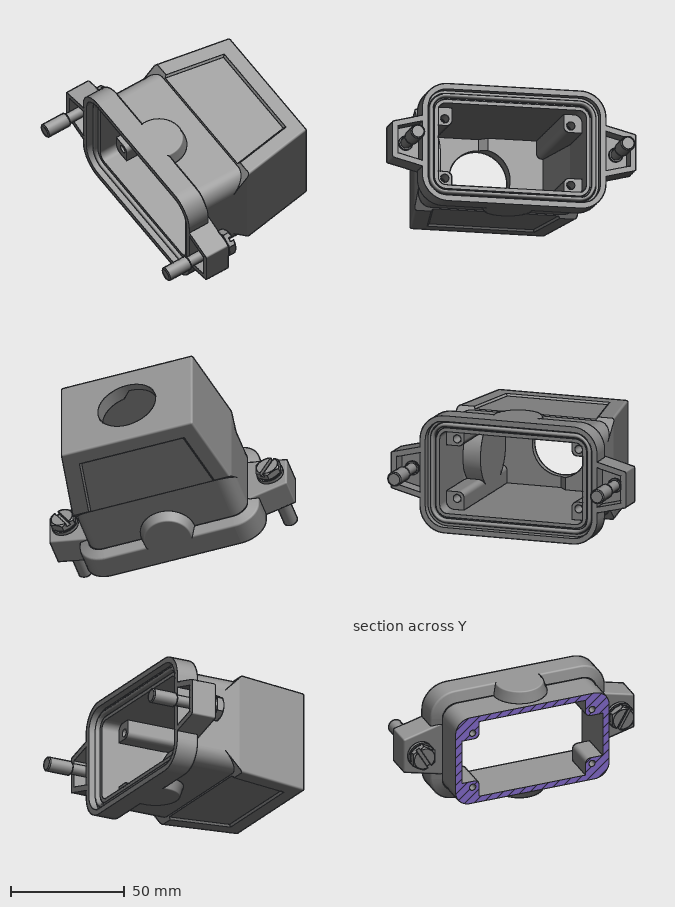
import cadquery as cq
import math


FLANGE_X = 83.0
FLANGE_Z = 53.0
FLANGE_RADIUS = 11.5
FLANGE_HEIGHT = 12.0
FLANGE_SLOPE_DROP = 1.8
FLANGE_EDGE_FILLET = 1.0

NECK_X = 73.5
NECK_Z = 43.0
NECK_RADIUS = 7.15
NECK_TOP = 34.0
NECK_ROOT = 5.0

HOOD_TOP = 70.0
HOOD_Z = 45.8
HOOD_TAPER = math.tan(math.radians(10))
HOOD_EDGE_FILLET = 1.0
PANEL_TOP = 63.0
PANEL_MARGIN = 7.4
PANEL_DEPTH = 0.9
PANEL_TAPER_ANGLE = 45

BOSS_BASE_RADIUS = 12.3
BOSS_TAPER_ANGLE = 19
BOSS_FILLET = 0.7
BOSS_FOOT_Y = 5.0

RIM_INSET = 2.5
RIM_DEPTH = 3.5
GROOVE_OUTER_INSET = 3.65
GROOVE_INNER_INSET = 6.3
GROOVE_DEPTH = 1.0
BEAD_INSET = 4.75
BEAD_RADIUS = 0.8
BEAD_PROTRUSION = 1.5
CAVITY_INSET = 8.0

CAVITY_DEPTH = 66.8
CAVITY_STEP_DEPTH = 63.3
CAVITY_STEP_RAMP = 3.3
CABLE_HOLE_RADIUS = 13.4

POST_INNER_X = 25.3
POST_INNER_Z = 10.4
POST_FRONT = 12.0
POST_FILLET = 2.5
POST_HOLE_X = 28.5
POST_HOLE_Z = 13.45
POST_HOLE_RADIUS = 1.8
POST_HOLE_DEPTH = 8.0
POST_PILOT_RADIUS = 1.4
POST_PILOT_DEPTH = 15.0

ENTRY_RADIUS = 16.0
ENTRY_CENTER_Y = 49.0

EAR_TIP_X = 55.0
EAR_ROOT_HALF_Z = 11.5
EAR_TIP_HALF_Z = 8.1
EAR_WALL = 2.5
EAR_POCKET_DEPTH = 7.2
EAR_CORNER_FILLET = 0.8
EAR_TOP_FILLET = 0.8

SCREW_X = 47.5
COLLAR_RADIUS = 3.1
COLLAR_FRONT = 6.0
SHANK_RADIUS = 2.4
THREAD_RADIUS = 3.15
THREAD_TIP = -16.6
THREAD_LENGTH = 12.0
THREAD_CHAMFER = 0.5
WASHER_RADIUS = 5.9
WASHER_THICKNESS = 1.5
HEAD_ACROSS_FLATS = 10.3
HEAD_HEIGHT = 3.5
HEAD_UNDERCUT = 0.4
HEAD_CHAMFER_DROP = 0.7
HEAD_CHAMFER_RUN = 1.1
HEAD_SLOT_WIDTH = 1.8
HEAD_SLOT_DEPTH = 1.8
HEAD_TURN = 30

OVERLAP = 1.0
SELECTION_MARGIN = 0.1


def plane_at(y):
    """Workplane parallel to XZ at height y, with its normal along +Y and local x along -X."""
    return cq.Workplane(cq.Plane(origin=(0, y, 0), xDir=(-1, 0, 0), normal=(0, 1, 0)))


def cylinder(x, z, radius, start, end):
    return plane_at(start).center(-x, z).circle(radius).extrude(end - start)


def rounded_block(size_x, size_z, radius, start, end):
    return plane_at(start).rect(size_x, size_z).extrude(end - start).edges("|Y").fillet(radius)


def inset_block(inset, start, end):
    """Block with the flange outline moved inward by inset."""
    return rounded_block(
        FLANGE_X - 2 * inset, FLANGE_Z - 2 * inset, FLANGE_RADIUS - inset, start, end
    )


def with_mirror(shape, plane):
    """Shape together with its mirror image in a plane through the origin."""
    return shape.union(shape.mirror(plane))


def hood_half_width(y):
    return NECK_X / 2 - (y - NECK_TOP) * HOOD_TAPER


def make_flange():
    flange = inset_block(0, 0, FLANGE_HEIGHT)
    slope_run = (FLANGE_X - NECK_X) / 2
    top_edge = flange.faces(">Y").edges()
    flange = top_edge.chamfer(FLANGE_SLOPE_DROP, slope_run)
    edge_y = FLANGE_HEIGHT - FLANGE_SLOPE_DROP
    band = cq.selectors.BoxSelector(
        (-FLANGE_X, edge_y - SELECTION_MARGIN, -FLANGE_Z),
        (FLANGE_X, edge_y + SELECTION_MARGIN, FLANGE_Z),
    )
    return flange.edges(band).fillet(FLANGE_EDGE_FILLET)


def make_hood():
    top_half = hood_half_width(HOOD_TOP)
    shoulder_y = NECK_TOP + (HOOD_Z - NECK_Z) / 2
    lowest_y = NECK_TOP - NECK_RADIUS
    outline = [
        (-NECK_X / 2, lowest_y),
        (NECK_X / 2, lowest_y),
        (NECK_X / 2, NECK_TOP),
        (top_half, HOOD_TOP),
        (-top_half, HOOD_TOP),
        (-NECK_X / 2, NECK_TOP),
    ]
    hood = cq.Workplane("XY").polyline(outline).close().extrude(HOOD_Z / 2, both=True)
    sloped_edges = hood.edges(cq.selectors.BoxSelector(
        (-NECK_X, NECK_TOP + OVERLAP, -HOOD_Z), (NECK_X, HOOD_TOP + OVERLAP, HOOD_Z)
    ))
    hood = sloped_edges.fillet(HOOD_EDGE_FILLET)
    shoulder_z = NECK_Z / 2 - NECK_RADIUS
    profile = [
        (lowest_y, -shoulder_z),
        (shoulder_y, -HOOD_Z / 2),
        (HOOD_TOP, -HOOD_Z / 2),
        (HOOD_TOP, HOOD_Z / 2),
        (shoulder_y, HOOD_Z / 2),
        (lowest_y, shoulder_z),
    ]
    shoulders = cq.Workplane("YZ").polyline(profile).close().extrude(NECK_X / 2, both=True)
    return hood.intersect(shoulders)


def make_panel_recess():
    """Sunk panel on the +Z face of the hood, open toward the neck."""
    bottom_y = NECK_TOP - 2 * OVERLAP
    bottom_half = hood_half_width(bottom_y) - PANEL_MARGIN
    top_half = hood_half_width(PANEL_TOP) - PANEL_MARGIN
    outline = [
        (-bottom_half, bottom_y),
        (bottom_half, bottom_y),
        (top_half, PANEL_TOP),
        (-top_half, PANEL_TOP),
    ]
    recess = cq.Workplane("XY").workplane(offset=HOOD_Z / 2).polyline(outline).close()
    return recess.extrude(-PANEL_DEPTH, taper=PANEL_TAPER_ANGLE)


def make_side_boss():
    """Arched, tapered boss on the +Z side, flush with the flange side and running down into it."""
    height = (FLANGE_Z - NECK_Z) / 2
    arch = (
        cq.Workplane("XY")
        .workplane(offset=NECK_Z / 2)
        .moveTo(BOSS_BASE_RADIUS, FLANGE_HEIGHT)
        .threePointArc((0, FLANGE_HEIGHT + BOSS_BASE_RADIUS), (-BOSS_BASE_RADIUS, FLANGE_HEIGHT))
        .lineTo(-BOSS_BASE_RADIUS, BOSS_FOOT_Y)
        .lineTo(BOSS_BASE_RADIUS, BOSS_FOOT_Y)
        .close()
    )
    boss = arch.extrude(height, taper=BOSS_TAPER_ANGLE)
    return boss.faces(">Z").edges().fillet(BOSS_FILLET)


def make_ears():
    root_x = FLANGE_X / 2
    slope = (EAR_ROOT_HALF_Z - EAR_TIP_HALF_Z) / (EAR_TIP_X - root_x)
    wall_z = EAR_WALL * math.hypot(1, slope)

    def half_z(x):
        return EAR_ROOT_HALF_Z - (x - root_x) * slope

    def trapezoid(x_in, x_out, reduction, start, end):
        corners = [
            (-x_in, half_z(x_in) - reduction),
            (-x_out, half_z(x_out) - reduction),
            (-x_out, -half_z(x_out) + reduction),
            (-x_in, -half_z(x_in) + reduction),
        ]
        return plane_at(start).polyline(corners).close().extrude(end - start)

    seat_x = FLANGE_X / 2 - CAVITY_INSET + OVERLAP
    ear = trapezoid(seat_x, EAR_TIP_X, 0, 0, FLANGE_HEIGHT)
    ear = ear.edges("|Y and >X").fillet(EAR_CORNER_FILLET)
    ear = ear.faces(">Y").edges("not <X").fillet(EAR_TOP_FILLET)
    pocket = trapezoid(root_x, EAR_TIP_X - EAR_WALL, wall_z, 0, EAR_POCKET_DEPTH)
    return ear, pocket


def make_screw():
    """Captive screw on the +X ear with its collar, washer and slotted hexagon head."""
    thread_end = THREAD_TIP + THREAD_LENGTH
    washer_top = FLANGE_HEIGHT + WASHER_THICKNESS
    head_bottom = washer_top + HEAD_UNDERCUT
    head_top = head_bottom + HEAD_HEIGHT
    thread = cylinder(0, 0, THREAD_RADIUS, THREAD_TIP, thread_end)
    thread = thread.faces("<Y or >Y").edges().chamfer(THREAD_CHAMFER)
    shank = cylinder(0, 0, SHANK_RADIUS, thread_end, FLANGE_HEIGHT)
    collar = cylinder(0, 0, COLLAR_RADIUS, COLLAR_FRONT, FLANGE_HEIGHT)
    washer = cylinder(0, 0, WASHER_RADIUS, FLANGE_HEIGHT, washer_top)
    undercut = cylinder(0, 0, HEAD_ACROSS_FLATS / 2, washer_top, head_bottom)
    corner_radius = HEAD_ACROSS_FLATS / math.sqrt(3)
    hexagon = plane_at(head_bottom).polygon(6, 2 * corner_radius).extrude(HEAD_HEIGHT)
    hexagon = hexagon.rotate((0, 0, 0), (0, 1, 0), HEAD_TURN)
    rounding = cylinder(0, 0, corner_radius, head_bottom, head_top)
    rounding = rounding.faces(">Y").chamfer(HEAD_CHAMFER_DROP, HEAD_CHAMFER_RUN)
    slot = plane_at(head_top).rect(HEAD_SLOT_WIDTH, 2 * WASHER_RADIUS).extrude(-HEAD_SLOT_DEPTH)
    slot = slot.rotate((0, 0, 0), (0, 1, 0), HEAD_TURN)
    head = hexagon.intersect(rounding).cut(slot)
    screw = thread.union(shank).union(collar).union(washer).union(undercut).union(head)
    return screw.translate((SCREW_X, 0, 0))


def make_rim_seat():
    """Material removed inside the rim: a shallow step and the groove beside the bead."""
    groove_bottom = RIM_DEPTH + GROOVE_DEPTH
    step = inset_block(RIM_INSET, 0, RIM_DEPTH)
    groove = inset_block(GROOVE_OUTER_INSET, RIM_DEPTH, groove_bottom)
    land = inset_block(GROOVE_INNER_INSET, RIM_DEPTH, groove_bottom)
    return step.union(groove.cut(land))


def make_bead():
    """Round-topped sealing bead standing in the groove."""
    crown_y = RIM_DEPTH - BEAD_PROTRUSION + BEAD_RADIUS
    groove_bottom = RIM_DEPTH + GROOVE_DEPTH
    outer = inset_block(BEAD_INSET - BEAD_RADIUS, crown_y, groove_bottom)
    inner = inset_block(BEAD_INSET + BEAD_RADIUS, crown_y, groove_bottom)
    size_z = FLANGE_Z - 2 * BEAD_INSET
    path_block = inset_block(BEAD_INSET, crown_y, groove_bottom)
    path = path_block.faces("<Y").wires()
    profile = cq.Workplane("YZ").center(crown_y, size_z / 2).circle(BEAD_RADIUS)
    crown = profile.sweep(path, transition="right")
    return outer.cut(inner).union(crown)


def make_posts(half_x, half_z):
    size_x = half_x - POST_INNER_X
    size_z = half_z - POST_INNER_Z
    post = plane_at(POST_FRONT).rect(size_x, size_z).extrude(CAVITY_DEPTH - POST_FRONT)
    post = post.translate((POST_INNER_X + size_x / 2, 0, POST_INNER_Z + size_z / 2))
    post = post.edges("|Y and <X and <Z").fillet(POST_FILLET)
    hole_end = POST_FRONT + POST_HOLE_DEPTH
    pilot_end = POST_FRONT + POST_PILOT_DEPTH
    hole = cylinder(POST_HOLE_X, POST_HOLE_Z, POST_HOLE_RADIUS, POST_FRONT, hole_end)
    pilot = cylinder(POST_HOLE_X, POST_HOLE_Z, POST_PILOT_RADIUS, POST_FRONT, pilot_end)
    post = post.cut(hole).cut(pilot)
    return with_mirror(with_mirror(post, "XY"), "YZ")


def make_cavity():
    half_x = FLANGE_X / 2 - CAVITY_INSET
    half_z = FLANGE_Z / 2 - CAVITY_INSET

    def cavity_half_width(y):
        return half_x - (y - NECK_TOP) * HOOD_TAPER

    outline = [
        (-half_x, 0),
        (-half_x, NECK_TOP),
        (-cavity_half_width(CAVITY_DEPTH), CAVITY_DEPTH),
        (0, CAVITY_DEPTH),
        (CAVITY_STEP_RAMP, CAVITY_STEP_DEPTH),
        (cavity_half_width(CAVITY_STEP_DEPTH), CAVITY_STEP_DEPTH),
        (half_x, NECK_TOP),
        (half_x, 0),
    ]
    cavity = cq.Workplane("XY").polyline(outline).close().extrude(half_z, both=True)
    cavity = cavity.intersect(inset_block(CAVITY_INSET, 0, CAVITY_DEPTH))
    entry = cq.Workplane("YZ").workplane(offset=-half_x).center(ENTRY_CENTER_Y, 0)
    entry = entry.circle(ENTRY_RADIUS).extrude(half_x - POST_INNER_X)
    return cavity.cut(make_posts(half_x, half_z)).cut(entry)


def make_body():
    neck = rounded_block(NECK_X, NECK_Z, NECK_RADIUS, FLANGE_HEIGHT - NECK_ROOT, NECK_TOP)
    ear, ear_pocket = make_ears()
    cable_hole = cylinder(
        0, 0, CABLE_HOLE_RADIUS, CAVITY_STEP_DEPTH - OVERLAP, HOOD_TOP + OVERLAP
    )
    body = make_flange().union(neck).union(make_hood())
    body = body.cut(with_mirror(make_panel_recess(), "XY"))
    body = body.union(with_mirror(make_side_boss(), "XY"))
    body = body.union(with_mirror(ear, "YZ")).cut(with_mirror(ear_pocket, "YZ"))
    body = body.cut(make_cavity()).cut(make_rim_seat()).union(make_bead())
    return body.cut(cable_hole)


result = make_body().union(with_mirror(make_screw(), "YZ"))